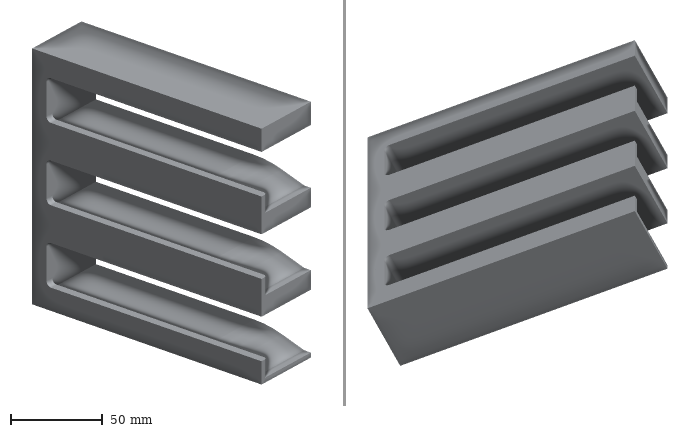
import cadquery as cq
import math

length = 160.0
depth = 43.0
height = 155.0

slot_count = 3
slot_height = 27.0
slot_pitch = 50.0
end_wall = 10.0
slot_corner_radius = 3.0

lip_thickness = 5.0
lip_end_radius = 2.5
end_sink = 11.0
end_flat_length = 4.6
ramp_length = 15.7
ramp_angle = math.radians(17.7)
blend_length = 19.2

ramp_drop = ramp_length * math.tan(ramp_angle)
blend_drop = blend_length * math.tan(ramp_angle / 2)
first_slot_bottom = (height - (slot_count - 1) * slot_pitch - slot_height) / 2


def slot_cutter(bottom):
    """Through slot with rounded corners at its closed end."""
    slot = cq.Workplane("XY").box(length, depth, slot_height, centered=False)
    slot = slot.edges("|Y and <X").fillet(slot_corner_radius)
    return slot.translate((end_wall, 0, bottom))


def floor_cutter(bottom):
    """Pocket behind the lip: main floor, curved blend, falling ramp and short flat end."""
    end_z = bottom - end_sink
    ramp_start_z = end_z + ramp_drop
    main_z = ramp_start_z + blend_drop
    ramp_end = length - end_flat_length
    ramp_start = ramp_end - ramp_length
    blend_start = ramp_start - blend_length
    pocket_top = bottom + slot_corner_radius
    pocket = (
        cq.Workplane("XZ", origin=(0, depth, 0))
        .moveTo(end_wall, pocket_top)
        .lineTo(end_wall, main_z)
        .lineTo(blend_start, main_z)
        .tangentArcPoint((ramp_start, ramp_start_z), relative=False)
        .lineTo(ramp_end, end_z)
        .lineTo(length, end_z)
        .lineTo(length, pocket_top)
        .close()
        .extrude(depth - lip_thickness)
    )
    return pocket


def lip_end_cutter(bottom):
    """Rounds the inner corner of the lip at the open end."""
    corner = (
        cq.Workplane("XY", origin=(0, 0, bottom - end_sink))
        .moveTo(length - lip_end_radius, lip_thickness)
        .radiusArc((length, lip_thickness - lip_end_radius), lip_end_radius)
        .lineTo(length, lip_thickness)
        .close()
        .extrude(end_sink)
    )
    return corner


result = cq.Workplane("XY").box(length, depth, height, centered=False)
for slot_index in range(slot_count):
    slot_bottom = first_slot_bottom + slot_index * slot_pitch
    result = result.cut(slot_cutter(slot_bottom))
    result = result.cut(floor_cutter(slot_bottom))
    result = result.cut(lip_end_cutter(slot_bottom))